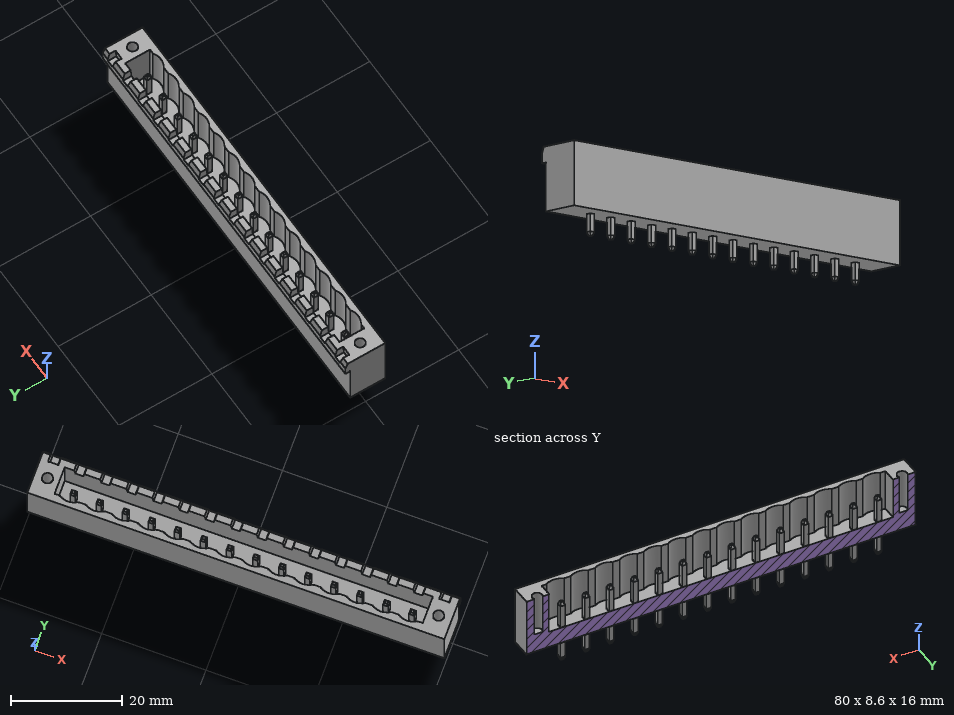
import cadquery as cq

PIN_COUNT = 14
PITCH = 5.0

LENGTH = 80.0
BODY_DEPTH = 7.6
HEIGHT = 12.0

LIP_OVERHANG = 1.0
LIP_HEIGHT = 3.0
LIP_CHAMFER_DEPTH = 0.5
LIP_CHAMFER_HEIGHT = 1.2
REAR_Y = BODY_DEPTH + LIP_OVERHANG

CAVITY_LENGTH = 70.6
CAVITY_FRONT_Y = 1.5
CAVITY_REAR_Y = 6.8
FLOOR_THICKNESS = 3.5
CAVITY_HEIGHT = HEIGHT - FLOOR_THICKNESS

SCALLOP_WIDTH = 3.6
SCALLOP_DEPTH = 0.55

NOTCH_TOP_WIDTH = 2.0
NOTCH_BOTTOM_WIDTH = 1.5
NOTCH_DEPTH = 1.6

PIN_Y = 3.8
PIN_WIDTH = 1.0
PIN_TIP_WIDTH = 0.5
PIN_TAPER_LENGTH = 0.7
PIN_BOTTOM_Z = -4.0
PIN_TOP_CLEARANCE = 3.0
PIN_TOP_Z = HEIGHT - PIN_TOP_CLEARANCE

FLANGE_HOLE_DIAMETER = 2.0
FLANGE_HOLE_DEPTH = 8.0

PIN_POSITIONS = [(i - (PIN_COUNT - 1) / 2) * PITCH for i in range(PIN_COUNT)]
FLANGE_POSITIONS = [PIN_POSITIONS[0] - PITCH, PIN_POSITIONS[-1] + PITCH]


def make_housing():
    """Extrude the end profile, with its chamfered rear lip, along X."""
    profile = [
        (0, 0),
        (BODY_DEPTH, 0),
        (BODY_DEPTH, HEIGHT - LIP_HEIGHT),
        (REAR_Y, HEIGHT - LIP_HEIGHT),
        (REAR_Y, HEIGHT - LIP_CHAMFER_HEIGHT),
        (REAR_Y - LIP_CHAMFER_DEPTH, HEIGHT),
        (0, HEIGHT),
    ]
    return cq.Workplane("YZ").polyline(profile).close().extrude(LENGTH / 2, both=True)


def make_cavity():
    """Build the open-topped cavity with its scalloped front side."""
    half_length = CAVITY_LENGTH / 2
    outline = cq.Workplane("XY", origin=(0, 0, FLOOR_THICKNESS))
    outline = outline.moveTo(-half_length, CAVITY_REAR_Y).lineTo(-half_length, CAVITY_FRONT_Y)
    for x in PIN_POSITIONS:
        outline = outline.lineTo(x - SCALLOP_WIDTH / 2, CAVITY_FRONT_Y)
        outline = outline.threePointArc(
            (x, CAVITY_FRONT_Y - SCALLOP_DEPTH),
            (x + SCALLOP_WIDTH / 2, CAVITY_FRONT_Y),
        )
    outline = outline.lineTo(half_length, CAVITY_FRONT_Y).lineTo(half_length, CAVITY_REAR_Y)
    return outline.close().extrude(CAVITY_HEIGHT)


def make_notch(x):
    """Build one notch cutter running from the cavity's rear side out through the lip."""
    profile = [
        (x - NOTCH_TOP_WIDTH / 2, HEIGHT),
        (x - NOTCH_BOTTOM_WIDTH / 2, HEIGHT - NOTCH_DEPTH),
        (x + NOTCH_BOTTOM_WIDTH / 2, HEIGHT - NOTCH_DEPTH),
        (x + NOTCH_TOP_WIDTH / 2, HEIGHT),
    ]
    plane = cq.Workplane("XZ", origin=(0, REAR_Y, 0))
    return plane.polyline(profile).close().extrude(REAR_Y - CAVITY_REAR_Y)


def make_taper(x, tip_z, base_z):
    """Loft one pin end from the full section at base_z to the tip at tip_z."""
    return (
        cq.Workplane("XY", origin=(x, PIN_Y, base_z))
        .rect(PIN_WIDTH, PIN_WIDTH)
        .workplane(offset=tip_z - base_z)
        .rect(PIN_TIP_WIDTH, PIN_TIP_WIDTH)
        .loft(ruled=True)
    )


def make_pin(x):
    """Build one square pin with a tapered tip above and below."""
    shank_bottom = PIN_BOTTOM_Z + PIN_TAPER_LENGTH
    shank_top = PIN_TOP_Z - PIN_TAPER_LENGTH
    shank = (
        cq.Workplane("XY", origin=(x, PIN_Y, shank_bottom))
        .rect(PIN_WIDTH, PIN_WIDTH)
        .extrude(shank_top - shank_bottom)
    )
    lower_tip = make_taper(x, PIN_BOTTOM_Z, shank_bottom)
    upper_tip = make_taper(x, PIN_TOP_Z, shank_top)
    return shank.union(lower_tip).union(upper_tip)


def make_flange_holes():
    """Build the blind round holes sunk from the top at both ends."""
    centres = [(x, PIN_Y) for x in FLANGE_POSITIONS]
    plane = cq.Workplane("XY", origin=(0, 0, HEIGHT)).pushPoints(centres)
    return plane.circle(FLANGE_HOLE_DIAMETER / 2).extrude(-FLANGE_HOLE_DEPTH)


result = make_housing().cut(make_cavity()).cut(make_flange_holes())
for notch_x in PIN_POSITIONS + FLANGE_POSITIONS:
    result = result.cut(make_notch(notch_x))
for pin_x in PIN_POSITIONS:
    result = result.union(make_pin(pin_x))